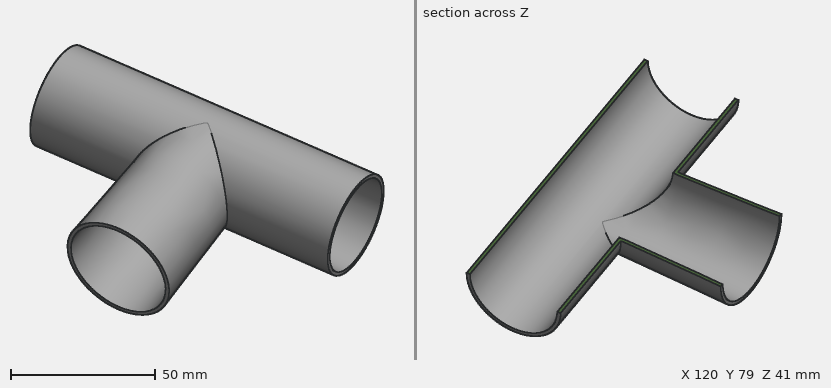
import cadquery as cq

run_length = 120.0
run_diameter = 38.0
wall = 1.5

branch_length = 60.0
branch_end_diameter = 41.0

run_radius = run_diameter / 2
branch_end_radius = branch_end_diameter / 2


def run_cylinder(radius):
    """Cylinder along X, centred on the origin."""
    return cq.Workplane("YZ").circle(radius).extrude(run_length / 2, both=True)


def branch_cone(root_radius, end_radius):
    """Cone from the run axis to the open end of the branch."""
    return cq.Workplane(
        cq.Solid.makeCone(
            root_radius, end_radius, branch_length, cq.Vector(0, 0, 0), cq.Vector(0, -1, 0)
        )
    )


outside = run_cylinder(run_radius).union(branch_cone(run_radius, branch_end_radius))
run_bore = run_cylinder(run_radius - wall)
branch_bore = branch_cone(run_radius - wall, branch_end_radius - wall)

result = outside.cut(run_bore).cut(branch_bore)